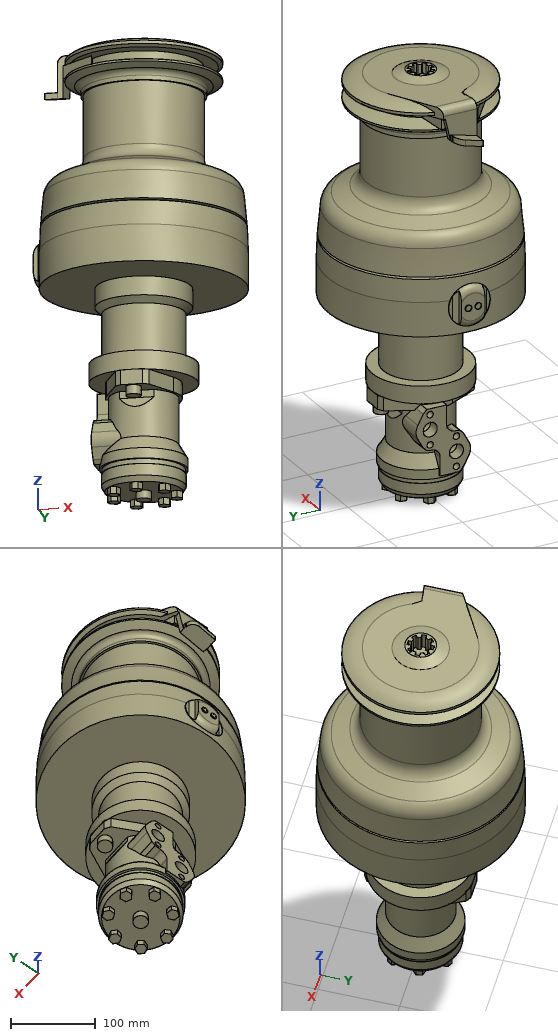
import cadquery as cq
import math

total_height = 551.5

base_radius = 123.85
base_shoulder_radius = 122.75
base_bottom_z = 259.0
base_shoulder_z = 304.5
base_rim_z = 334.0
spigot_radius = 115.0
gap_height = 3.0

collar_radius = 58.0
collar_bottom_z = 236.0
tube_radius = 49.9
tube_top_z = 228.5
disc_radius = 65.0
disc_top_z = 166.0
disc_bottom_z = 143.0

button_z = 294.5
button_radius = 27.85
button_face_x = -131.0
button_step_x = -124.5
button_rim_x = -122.0
button_fillet = 10.0
button_face_half_width = 15.7
button_foot_half_width = 22.5
lamp_diameter = 8.0
lamp_offset = 6.5
lamp_x = base_radius - 256.0

flange_bottom_z = 124.5
flange_hub_radius = 45.5
flange_half_length = 65.0
mount_bolt_diameter = 18.0
mount_bolt_offset = 53.5
mount_bolt_bottom_z = 113.5
motor_radius = 42.0
motor_cone_top_z = 67.0
motor_cone_bottom_z = 49.5
motor_band_radius = 52.5
motor_band_bottom_z = 37.0
spacer_radius = 49.5
spacer_bottom_z = 31.0
gear_radius = 50.0
gear_bottom_z = 16.5
cover_radius = 46.5
cover_bottom_z = 10.0
relief_half_width = 23.45
relief_depth_y = 36.5
relief_slope_top_z = 116.0
relief_slope_bottom_z = 103.5

cover_bolt_count = 7
cover_bolt_circle_radius = 39.0
cover_bolt_flats = 13.0
cover_bolt_bottom_z = 1.5
plug_diameter = 18.0

port_face_x = -55.45
port_block_y = -0.5
port_block_z = 86.5
port_y = 17.5
port_z = 18.0
port_diameter = 19.0
port_depth = 16.5
port_screw_diameter = 8.0
port_screw_spacing = 20.0
port_screw_depth = 11.0
drill_half_angle = math.radians(59)

drum_bottom_z = base_rim_z + gap_height
drum_bottom_radius = 122.5
drum_shoulder_radius = 119.0
drum_shoulder_z = 373.0
drum_crown_radius = 106.0
drum_crown_z = 390.5
drum_fillet_radius = 84.0
drum_fillet_z = 400.0
drum_radius = 72.0
drum_neck_z = 418.0
lip_radius = 74.5
lip_bottom_z = 496.0
lip_top_z = 501.5

jaw_radius = 93.5
lower_jaw_root_radius = 82.0
lower_jaw_root_z = 508.5
lower_rim_bottom_z = 513.5
lower_rim_top_z = 516.5
groove_radius = 71.0
groove_bottom_z = 522.5
groove_top_z = 532.5
upper_jaw_flat_radius = 88.0
upper_rim_bottom_z = 535.0
upper_rim_top_z = 539.0
cover_top_z = 546.5
cover_flat_radius = 69.0
cap_radius = 33.9
cap_top_radius = 19.0

socket_inner_diameter = 24.0
socket_outer_diameter = 32.0
socket_tooth_count = 8
socket_slot_width = 5.5
socket_depth = 22.0

arm_outer_x = -100.0
arm_inner_x = arm_outer_x + 6.5
arm_front_y = -22.0
arm_tip_y = 14.0
arm_tip_z = 503.0
arm_bottom_z = 493.5
arm_foot_x = -115.5
arm_foot_height = 7.5
arm_blade_width = 66.0
arm_bend_radius = 10.0
arm_edge_fillet = 2.0


def revolve_profile(profile):
    """Close an (r, z) profile on the Z axis and turn it a full revolution."""
    return profile.close().revolve(360, (0, 0, 0), (0, 1, 0))


def cylinder_z(radius, bottom_z, top_z, x=0.0, y=0.0):
    return cq.Workplane("XY", origin=(x, y, bottom_z)).circle(radius).extrude(top_z - bottom_z)


def make_base_housing():
    """Base, spigot under the drum, mounting tube and its disc."""
    profile = (
        cq.Workplane("XZ")
        .moveTo(0, disc_bottom_z)
        .lineTo(disc_radius, disc_bottom_z)
        .lineTo(disc_radius, disc_top_z)
        .lineTo(tube_radius, disc_top_z)
        .lineTo(tube_radius, tube_top_z)
        .lineTo(collar_radius, collar_bottom_z)
        .lineTo(collar_radius, base_bottom_z)
        .lineTo(base_radius, base_bottom_z)
        .lineTo(base_radius, base_shoulder_z)
        .lineTo(base_shoulder_radius, base_rim_z)
        .lineTo(spigot_radius, base_rim_z)
        .lineTo(spigot_radius, drum_bottom_z)
        .lineTo(0, drum_bottom_z)
    )
    return revolve_profile(profile)


def make_button():
    """Round boss with chamfered sides and two indicator lamps."""
    root_x = 11 - base_radius
    plane = cq.Workplane("YZ", origin=(root_x, 0, button_z))
    rim = plane.circle(button_radius).extrude(button_rim_x - root_x)
    dome = plane.circle(button_radius).extrude(button_face_x - root_x).faces("<X").edges().fillet(button_fillet)
    crown = (
        cq.Workplane("XY", origin=(0, 0, button_z - button_radius))
        .polyline([
            (root_x, -button_foot_half_width),
            (button_rim_x, -button_foot_half_width),
            (button_step_x, -button_face_half_width),
            (button_face_x, -button_face_half_width),
            (button_face_x, button_face_half_width),
            (button_step_x, button_face_half_width),
            (button_rim_x, button_foot_half_width),
            (root_x, button_foot_half_width),
        ])
        .close()
        .extrude(2 * button_radius)
    )
    lamps = (
        cq.Workplane("YZ", origin=(button_face_x, 0, button_z))
        .pushPoints([(-lamp_offset, 0), (lamp_offset, 0)])
        .circle(lamp_diameter / 2)
        .extrude(lamp_x - button_face_x)
    )
    return rim.union(dome.intersect(crown)).union(lamps)


def make_motor_flange():
    """Two-bolt flange: a round hub with two tapered ears along Y."""
    hub = cylinder_z(flange_hub_radius, flange_bottom_z, disc_bottom_z)
    ear_tip = (13.0, flange_half_length)
    ear_shoulder = (20.5, 60.5)
    ear_root = (40.55, 20.7)
    right_side = [ear_tip, ear_shoulder, ear_root]
    corners = right_side + [(x, -y) for x, y in reversed(right_side)]
    corners += [(-x, -y) for x, y in right_side]
    corners += [(-x, y) for x, y in reversed(right_side)]
    ears = (
        cq.Workplane("XY", origin=(0, 0, flange_bottom_z))
        .polyline(corners)
        .close()
        .extrude(disc_bottom_z - flange_bottom_z)
    )
    return hub.union(ears)


def make_motor_housing():
    profile = (
        cq.Workplane("XZ")
        .moveTo(0, cover_bottom_z)
        .lineTo(cover_radius, cover_bottom_z)
        .lineTo(gear_radius, gear_bottom_z)
        .lineTo(gear_radius, spacer_bottom_z)
        .lineTo(spacer_radius, spacer_bottom_z)
        .lineTo(spacer_radius, motor_band_bottom_z)
        .lineTo(motor_band_radius, motor_band_bottom_z)
        .lineTo(motor_band_radius, motor_cone_bottom_z)
        .lineTo(motor_radius, motor_cone_top_z)
        .lineTo(motor_radius, disc_bottom_z)
        .lineTo(0, disc_bottom_z)
    )
    return revolve_profile(profile)


def make_bolt_relief(side):
    """Clearance below one flange ear; side is -1 for -Y or +1 for +Y."""
    return (
        cq.Workplane("YZ", origin=(-relief_half_width, 0, 0))
        .polyline([
            (side * relief_depth_y, flange_bottom_z),
            (side * relief_depth_y, relief_slope_top_z),
            (side * motor_radius, relief_slope_bottom_z),
            (side * flange_half_length, relief_slope_bottom_z),
            (side * flange_half_length, flange_bottom_z),
        ])
        .close()
        .extrude(2 * relief_half_width)
    )


def make_port_block():
    """S-shaped block with the same outline after half a turn about X."""
    half = [(-4.5, 46.0), (22.0, 46.0), (27.0, 41.0), (34.0, 27.5)]
    lobe_mid = (36.7, 18.0)
    lobe_end = (34.0, 9.5)
    lobe_foot = (27.0, -4.0)
    waist_start = (22.0, -8.0)
    notch_start = (14.0, -9.5)
    notch_mid = (7.0, -13.0)
    notch_end = (4.5, -20.5)
    outline = cq.Workplane("YZ", origin=(port_face_x, port_block_y, port_block_z)).moveTo(*half[0])
    for turn in (1, -1):
        def place(point, turn=turn):
            return (turn * point[0], turn * point[1])

        for point in half[1:]:
            outline = outline.lineTo(*place(point))
        outline = outline.threePointArc(place(lobe_mid), place(lobe_end))
        outline = outline.lineTo(*place(lobe_foot))
        outline = outline.lineTo(*place(waist_start))
        outline = outline.lineTo(*place(notch_start))
        outline = outline.threePointArc(place(notch_mid), place(notch_end))
        if turn == 1:
            outline = outline.lineTo(-half[0][0], -half[0][1])
    return outline.close().extrude(-port_face_x)


def make_drilled_hole(diameter, depth, y, z):
    """Blind hole along +X from the port face, ending in a drill-point cone."""
    radius = diameter / 2
    tip = depth + radius / math.tan(drill_half_angle)
    return (
        cq.Workplane("XY", origin=(port_face_x, y, z))
        .polyline([(0, 0), (0, radius), (depth, radius), (tip, 0)])
        .close()
        .revolve(360, (0, 0, 0), (1, 0, 0))
    )


def make_port_holes():
    """Two oil ports, each with a fixing-screw hole above and below it."""
    holes = cq.Workplane("XY")
    for turn in (-1, 1):
        y = port_block_y + turn * port_y
        z = port_block_z + turn * port_z
        holes = holes.add(make_drilled_hole(port_diameter, port_depth, y, z))
        for screw in (-1, 1):
            screw_z = z + screw * port_screw_spacing
            holes = holes.add(make_drilled_hole(port_screw_diameter, port_screw_depth, y, screw_z))
    return holes


def make_cover_bolts():
    """Hexagon bolt heads on the motor's end cover, starting at -Y."""
    return (
        cq.Workplane("XY", origin=(0, 0, cover_bolt_bottom_z))
        .polarArray(cover_bolt_circle_radius, -90, 360, cover_bolt_count)
        .polygon(6, cover_bolt_flats, circumscribed=True)
        .extrude(cover_bottom_z - cover_bolt_bottom_z)
    )


def make_base():
    motor = make_motor_housing()
    for side in (-1, 1):
        motor = motor.cut(make_bolt_relief(side))
    motor = motor.union(make_port_block()).union(make_motor_flange())
    for side in (-1, 1):
        bolt = cylinder_z(
            mount_bolt_diameter / 2, mount_bolt_bottom_z, flange_bottom_z, y=side * mount_bolt_offset
        )
        motor = motor.union(bolt)
    motor = motor.union(make_cover_bolts())
    motor = motor.union(cylinder_z(plug_diameter / 2, 0, cover_bottom_z))
    for hole in make_port_holes().vals():
        motor = motor.cut(cq.Workplane(hole))
    return make_base_housing().union(make_button()).union(motor)


def make_drum_shell():
    arc_width = jaw_radius - cover_flat_radius
    arc_drop = cover_top_z - upper_rim_top_z
    arc_radius = (arc_width**2 + arc_drop**2) / (2 * arc_drop)
    half_angle = math.atan(arc_drop / arc_width)
    cover_arc_mid = (
        cover_flat_radius + arc_radius * math.sin(half_angle),
        cover_top_z - arc_radius * (1 - math.cos(half_angle)),
    )
    profile = (
        cq.Workplane("XZ")
        .moveTo(0, drum_bottom_z)
        .lineTo(drum_bottom_radius, drum_bottom_z)
        .lineTo(drum_shoulder_radius, drum_shoulder_z)
        .tangentArcPoint((drum_crown_radius, drum_crown_z), relative=False)
        .lineTo(drum_fillet_radius, drum_fillet_z)
        .tangentArcPoint((drum_radius, drum_neck_z), relative=False)
        .lineTo(drum_radius, lip_bottom_z)
        .lineTo(lip_radius, lip_bottom_z)
        .lineTo(lip_radius, lip_top_z)
        .tangentArcPoint((lower_jaw_root_radius, lower_jaw_root_z), relative=False)
        .lineTo(jaw_radius, lower_rim_bottom_z)
        .lineTo(jaw_radius, lower_rim_top_z)
        .lineTo(groove_radius, groove_bottom_z)
        .lineTo(groove_radius, groove_top_z)
        .lineTo(upper_jaw_flat_radius, groove_top_z)
        .lineTo(jaw_radius, upper_rim_bottom_z)
        .lineTo(jaw_radius, upper_rim_top_z)
        .threePointArc(cover_arc_mid, (cover_flat_radius, cover_top_z))
        .lineTo(cap_radius, cover_top_z)
        .lineTo(cap_top_radius, total_height)
        .lineTo(0, total_height)
    )
    return revolve_profile(profile)


def make_handle_socket():
    """Splined blind socket for the winch handle."""
    bottom_z = total_height - socket_depth
    socket = cylinder_z(socket_inner_diameter / 2, bottom_z, total_height)
    slot = (
        cq.Workplane("XY", origin=(0, 0, bottom_z))
        .rect(socket_outer_diameter, socket_slot_width)
        .extrude(socket_depth)
    )
    for step in range(socket_tooth_count // 2):
        socket = socket.union(slot.rotate((0, 0, 0), (0, 0, 1), step * 360 / socket_tooth_count))
    return socket


def make_arm_outline():
    """Plan of the arm, from its tangent on the cover's flat to the rounded end of its foot."""
    return (
        cq.Workplane("XY", origin=(0, 0, arm_bottom_z))
        .moveTo(-32.0, 61.0)
        .lineTo(arm_outer_x, 23.0)
        .lineTo(arm_outer_x - 4.5, 12.5)
        .threePointArc((-112.0, 9.5), (arm_foot_x, 1.5))
        .lineTo(arm_foot_x, arm_front_y)
        .lineTo(arm_outer_x, arm_front_y)
        .lineTo(-70.5, -17.5)
        .lineTo(-63.5, -27.0)
        .lineTo(0, 0)
        .close()
        .extrude(cover_top_z - arm_bottom_z)
    )


def make_arm_strip():
    """Blade flush with the cover, rounded bend and hanging plate that narrows downward."""
    section = (
        cq.Workplane("XZ", origin=(0, arm_blade_width, 0))
        .moveTo(0, groove_top_z)
        .lineTo(arm_inner_x, groove_top_z)
        .lineTo(arm_inner_x, arm_bottom_z)
        .lineTo(arm_outer_x, arm_bottom_z)
        .lineTo(arm_outer_x, cover_top_z - arm_bend_radius)
        .tangentArcPoint((arm_outer_x + arm_bend_radius, cover_top_z), relative=False)
        .lineTo(0, cover_top_z)
        .close()
        .extrude(2 * arm_blade_width)
    )
    side = (
        cq.Workplane("YZ", origin=(arm_outer_x, 0, 0))
        .polyline([
            (arm_blade_width, cover_top_z),
            (arm_blade_width, groove_top_z),
            (20.5, groove_top_z),
            (arm_tip_y, arm_tip_z),
            (arm_front_y, arm_bottom_z),
            (-arm_blade_width, arm_bottom_z),
            (-arm_blade_width, cover_top_z),
        ])
        .close()
        .extrude(-arm_outer_x)
    )
    strip = section.intersect(side).intersect(make_arm_outline())
    front_edge = cq.selectors.NearestToPointSelector((arm_outer_x, arm_front_y, lip_top_z))
    return strip.edges(front_edge).fillet(arm_edge_fillet)


def make_arm_foot():
    """Outward foot along the slanted lower end of the plate."""
    return (
        cq.Workplane("YZ", origin=(arm_foot_x, 0, 0))
        .polyline([
            (arm_tip_y, arm_tip_z),
            (arm_front_y, arm_bottom_z),
            (arm_front_y, arm_bottom_z + arm_foot_height),
            (arm_tip_y, arm_tip_z + arm_foot_height),
        ])
        .close()
        .extrude(arm_inner_x - arm_foot_x)
        .intersect(make_arm_outline())
    )


def make_feeder():
    """Wedge that fills the groove between the jaws behind the arm's plate."""
    return (
        cq.Workplane("XY", origin=(0, 0, lower_rim_top_z))
        .polyline([
            (arm_inner_x, 22.0), (-64.0, 32.5), (-49.0, -62.5), (-91.5, -27.5), (arm_inner_x, arm_front_y),
        ])
        .close()
        .extrude(groove_top_z - lower_rim_top_z)
    )


def make_drum():
    return (
        make_drum_shell()
        .union(make_arm_strip())
        .union(make_arm_foot())
        .union(make_feeder())
        .cut(make_handle_socket())
    )


base = make_base()
drum = make_drum()
result = cq.Compound.makeCompound([base.val(), drum.val()])